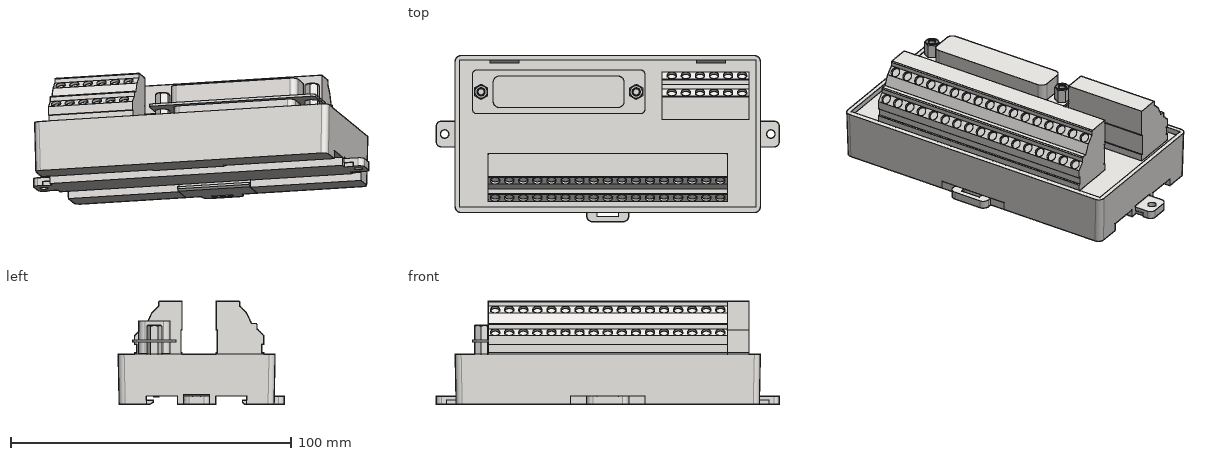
import cadquery as cq
import math

housing_length = 109.1
housing_width = 56.2
housing_height = 17.9
wall_draft = 0.4
corner_radius = 2.2

rim_thickness = 1.6
front_rim_thickness = 2.0
board_depth = 2.0
board_thickness = 1.6
board_top = housing_height - board_depth
board_bottom = board_top - board_thickness
tray_length = housing_length - 2 * rim_thickness
tray_back = housing_width / 2 - rim_thickness
tray_front = -housing_width / 2 + front_rim_thickness

clip_length = 10.3
clip_spacing = 73.8
clip_reach = 1.1

channel_inner = 6.9
channel_outer = 17.9
channel_height = 3.0
hook_height = 1.5
fixed_hook_reach = 2.5
rail_rib_center = 14.5
rail_rib_width = 2.0
rail_rib_height = 0.4

overall_length = 122.6
ear_width = 9.3
ear_height = channel_height
ear_hole_diameter = 3.0
ear_hole_spacing = 116.5
ear_corner_radius = 2.0
ear_notch_start = 57.5
ear_notch_height = 1.5
ear_notch_depth = 0.5
ear_relief = 0.9

latch_width = 26.5
latch_height = channel_height
latch_hook_reach = 1.6
latch_face = -housing_width / 2 + wall_draft
overall_width = 59.5
tab_front = housing_width / 2 - overall_width
tab_width = 15.1
tab_corner_radius = 2.2
tab_slot_width = 7.6
tab_bar = 2.0

top_height = 36.9
pole_pitch = 5.0
front_poles = 17
back_poles = 6
back_block_margin = 1.0
front_block_back = -7.0
back_block_back = 5.1
back_block_right = 50.5
screw_hole_diameter = 3.3
screw_hole_depth = 1.1

foot_height = 18.5
back_step_depth = 0.4
back_step_height = 26.6
block_depth = 17.0
front_groove_depth = 0.7
front_groove_top = 21.5
lower_facet = ((block_depth, 24.5), (14.6, 27.0))
upper_facet = ((10.9, 32.6), (8.5, 35.1))
ledge_inner = 12.6
ledge_height = 28.9
edge_chamfer = 0.4

connector_x = -17.5
connector_y = 15.1
flange_length = 61.5
flange_width = 15.6
flange_corner_radius = 1.5
flange_bottom = 22.2
flange_thickness = 0.9
shell_length = 46.8
shell_width = 11.3
shell_corner_radius = 2.3
shell_top = 29.8
lower_shell_length = 44.9
lower_shell_bottom = 18.1

post_spacing = 55.4
post_flats = 4.7
post_top = 28.3
post_chamfer = 0.5
post_hole_diameter = 2.2
post_hole_depth = 4.9
post_mouth_diameter = 3.0
post_mouth_depth = 0.4


def box(x_range, y_range, z_range):
    """Box given by its lower and upper limit along each axis."""
    return cq.Workplane("XY").box(
        x_range[1] - x_range[0],
        y_range[1] - y_range[0],
        z_range[1] - z_range[0],
        centered=False,
    ).translate((x_range[0], y_range[0], z_range[0]))


def rounded_block(length, width, radius, bottom, top):
    """Upright block, centred in X and Y, with rounded vertical edges."""
    return (
        cq.Workplane("XY", origin=(0, 0, bottom))
        .rect(length, width)
        .extrude(top - bottom)
        .edges("|Z")
        .fillet(radius)
    )


def bar_along_x(points, x_start, x_end):
    """Straight bar along X with the (Y, Z) outline given by points."""
    return cq.Workplane("YZ", origin=(x_start, 0, 0)).polyline(points).close().extrude(x_end - x_start)


def make_shell():
    """Solid block whose walls lean outward towards the rim."""
    rim = cq.Sketch().rect(housing_length, housing_width).vertices().fillet(corner_radius)
    underside = cq.Sketch().rect(housing_length - 2 * wall_draft, housing_width - 2 * wall_draft)
    underside = underside.vertices().fillet(corner_radius)
    rim = rim.moved(cq.Location(cq.Vector(0, 0, housing_height)))
    return cq.Workplane("XY").placeSketch(underside, rim).loft(ruled=True)


def make_ear():
    """Mounting ear at the +X end, reaching into the housing wall."""
    ear_end = overall_length / 2
    root = housing_length / 2 - rim_thickness
    ear = box((root, ear_end), (-ear_width / 2, ear_width / 2), (0, ear_height))
    ear = ear.edges("|Z and >X").fillet(ear_corner_radius)
    hole = cq.Workplane("XY").center(ear_hole_spacing / 2, 0).circle(ear_hole_diameter / 2)
    ear = ear.cut(hole.extrude(ear_height))
    notch = box(
        (housing_length / 2 - wall_draft, ear_notch_start),
        (-ear_width / 2, -ear_width / 2 + ear_notch_depth),
        (0, ear_notch_height),
    )
    return ear.cut(notch).cut(notch.mirror("XZ"))


def make_ear_relief():
    """Downward-facing sloped cut in the +X end wall, just above the ear."""
    wall = housing_length / 2
    relief = cq.Workplane("XZ", origin=(0, ear_width / 2, 0)).polyline([
        (wall - ear_relief, ear_height),
        (wall, ear_height),
        (wall, ear_height + ear_relief),
    ])
    return relief.close().extrude(ear_width)


def make_board_clip(center_x):
    """Wedge on the back rim that holds the board down."""
    points = [
        (tray_back, housing_height),
        (tray_back - clip_reach, board_top),
        (tray_back, board_top),
    ]
    return bar_along_x(points, center_x - clip_length / 2, center_x + clip_length / 2)


def hook_outline(root, reach, direction):
    """(Y, Z) outline of a rail hook with a sloped underside."""
    return [
        (root, 0),
        (root, hook_height),
        (root + direction * reach, hook_height),
        (root + direction * reach, hook_height / 2),
        (root + direction * reach / 2, 0),
    ]


def make_housing():
    half_length = housing_length / 2
    housing = make_shell()
    tray = box((-tray_length / 2, tray_length / 2), (tray_front, tray_back), (board_bottom, housing_height))
    housing = housing.cut(tray)
    for center_x in (-clip_spacing / 2, clip_spacing / 2):
        housing = housing.union(make_board_clip(center_x))

    back_channel = box((-half_length, half_length), (channel_inner, channel_outer), (0, channel_height))
    housing = housing.cut(back_channel).cut(back_channel.mirror("XZ"))
    hook = bar_along_x(
        hook_outline(channel_outer, fixed_hook_reach, -1), -latch_width / 2, latch_width / 2
    )
    rib = box(
        (-latch_width / 2, latch_width / 2),
        (rail_rib_center - rail_rib_width / 2, rail_rib_center + rail_rib_width / 2),
        (channel_height - rail_rib_height, channel_height),
    )
    housing = housing.union(hook).union(rib)

    relief = make_ear_relief()
    housing = housing.cut(relief).cut(relief.mirror("YZ"))
    ear = make_ear()
    housing = housing.union(ear).union(ear.mirror("YZ"))

    latch_slot = box(
        (-latch_width / 2, latch_width / 2), (-housing_width / 2, -channel_outer), (0, latch_height)
    )
    return housing.cut(latch_slot)


def make_latch():
    """Slider in the front wall, with a rail hook inside and a slotted pull tab outside."""
    half_width = latch_width / 2
    slider = box((-half_width, half_width), (latch_face, -channel_outer), (0, latch_height))
    hook = bar_along_x(hook_outline(-channel_outer, latch_hook_reach, 1), -half_width, half_width)
    tab = box((-tab_width / 2, tab_width / 2), (tab_front, latch_face), (0, latch_height))
    tab = tab.edges("|Z and <Y").fillet(tab_corner_radius)
    slot = box(
        (-tab_slot_width / 2, tab_slot_width / 2), (tab_front + tab_bar, latch_face), (0, latch_height)
    )
    return slider.union(hook).union(tab.cut(slot))


def facet_holes(facet, first_x, poles):
    """Row of shallow screw holes square to a sloped facet of the block cross-section."""
    (y0, z0), (y1, z1) = facet
    slope = math.hypot(y1 - y0, z1 - z0)
    outward = cq.Vector(0, (z1 - z0) / slope, (y0 - y1) / slope)
    holes = []
    for pole in range(poles):
        mouth = cq.Vector(first_x + pole * pole_pitch, (y0 + y1) / 2, (z0 + z1) / 2)
        holes.append(
            cq.Solid.makeCylinder(screw_hole_diameter / 2, screw_hole_depth, mouth, outward * -1)
        )
    return cq.Workplane(cq.Compound.makeCompound(holes))


def make_terminal_block(length, poles, first_pole):
    """Two-tier block from X = 0, with its back wall at Y = 0 and its screws towards +Y."""
    groove = block_depth - front_groove_depth
    points = [
        (0, board_top),
        (0, foot_height),
        (back_step_depth, foot_height),
        (back_step_depth, back_step_height),
        (0, back_step_height),
        (0, top_height),
        (upper_facet[1][0] - edge_chamfer, top_height),
        (upper_facet[1][0], top_height - edge_chamfer),
        upper_facet[1],
        upper_facet[0],
        (ledge_inner, ledge_height),
        (lower_facet[1][0] - edge_chamfer, ledge_height),
        (lower_facet[1][0], ledge_height - edge_chamfer),
        lower_facet[1],
        lower_facet[0],
        (block_depth, front_groove_top),
        (groove, front_groove_top),
        (groove, foot_height),
        (block_depth, foot_height),
        (block_depth, board_top),
    ]
    block = bar_along_x(points, 0, length)
    for facet in (lower_facet, upper_facet):
        block = block.cut(facet_holes(facet, first_pole, poles))
    return block


def make_front_block():
    length = front_poles * pole_pitch
    block = make_terminal_block(length, front_poles, pole_pitch / 2).mirror("XZ")
    return block.translate((-length / 2, front_block_back, 0))


def make_back_block():
    length = back_poles * pole_pitch + back_block_margin
    block = make_terminal_block(length, back_poles, back_block_margin + pole_pitch / 2)
    return block.translate((back_block_right - length, back_block_back, 0))


def make_post():
    """Hexagonal jack post with a chamfered top, standing on the board."""
    across_corners = post_flats / math.cos(math.pi / 6)
    height = post_top - board_top
    blank = cq.Workplane("XY").circle(across_corners / 2).extrude(height).faces(">Z").chamfer(post_chamfer)
    hexagon = cq.Workplane("XY").polygon(6, across_corners).extrude(height)
    post = hexagon.rotate((0, 0, 0), (0, 0, 1), 90).intersect(blank)
    return post.translate((0, 0, board_top))


def make_post_hole():
    """Blind hole with a wider mouth, at the place of a jack post's top."""
    hole = cq.Workplane("XY", origin=(0, 0, post_top)).circle(post_hole_diameter / 2).extrude(-post_hole_depth)
    mouth = cq.Workplane("XY", origin=(0, 0, post_top)).circle(post_mouth_diameter / 2)
    return hole.union(mouth.extrude(-post_mouth_depth))


def make_connector():
    flange_top = flange_bottom + flange_thickness
    flange = rounded_block(flange_length, flange_width, flange_corner_radius, flange_bottom, flange_top)
    upper = rounded_block(shell_length, shell_width, shell_corner_radius, flange_top, shell_top)
    lower = rounded_block(
        lower_shell_length, shell_width, shell_corner_radius, lower_shell_bottom, flange_bottom
    )
    connector = flange.union(upper).union(lower)
    for post_x in (-post_spacing / 2, post_spacing / 2):
        connector = connector.union(make_post().translate((post_x, 0, 0)))
        connector = connector.cut(make_post_hole().translate((post_x, 0, 0)))
    return connector.translate((connector_x, connector_y, 0))


def make_board_assembly():
    """Circuit board carrying the two terminal blocks and the connector."""
    board = box((-tray_length / 2, tray_length / 2), (tray_front, tray_back), (board_bottom, board_top))
    return board.union(make_front_block()).union(make_back_block()).union(make_connector())


housing = make_housing()
latch = make_latch()
board_assembly = make_board_assembly()

result = cq.Compound.makeCompound([housing.val(), latch.val(), board_assembly.val()])